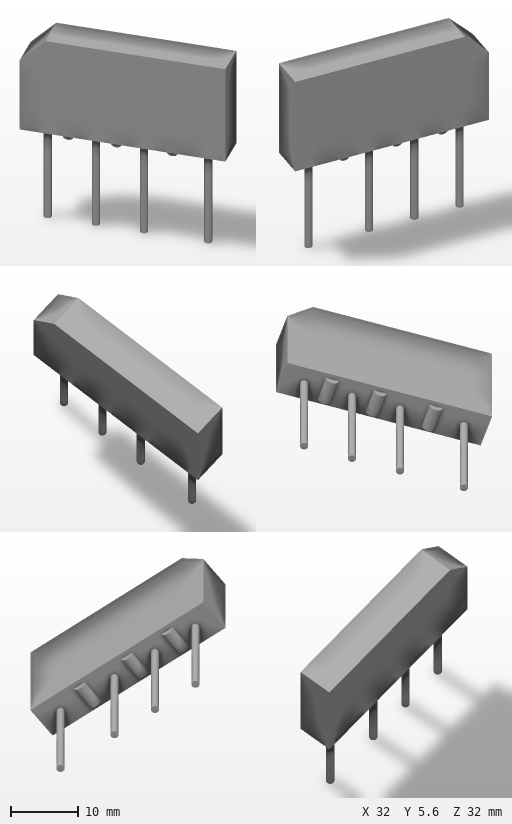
import cadquery as cq

body_length = 32.0
body_thickness = 5.6
body_height = 16.0
corner_chamfer = 4.0

pin_diameter = 1.2
pin_length = 16.0
pin_gaps = [7.5, 7.5, 10.0]

standoff_radius = 1.0
standoff_length = 4.0

pin_positions = [-sum(pin_gaps) / 2]
for gap in pin_gaps:
    pin_positions.append(pin_positions[-1] + gap)

standoff_positions = [(a + b) / 2 for a, b in zip(pin_positions, pin_positions[1:])]


def make_body():
    """Rectangular block with one upper corner cut off."""
    block = cq.Workplane("XY").box(
        body_length, body_thickness, body_height, centered=(True, True, False)
    )
    return block.edges("<X and >Z").chamfer(corner_chamfer)


def make_pin(x):
    """Round lead hanging below the body."""
    return cq.Workplane("XY").center(x, 0).circle(pin_diameter / 2).extrude(-pin_length)


def make_standoff(x):
    """Half-round rib under the body, running along Y."""
    return (
        cq.Workplane("XZ")
        .moveTo(x - standoff_radius, 0)
        .threePointArc((x, -standoff_radius), (x + standoff_radius, 0))
        .close()
        .extrude(standoff_length / 2, both=True)
    )


result = make_body()
for position in pin_positions:
    result = result.union(make_pin(position))
for position in standoff_positions:
    result = result.union(make_standoff(position))